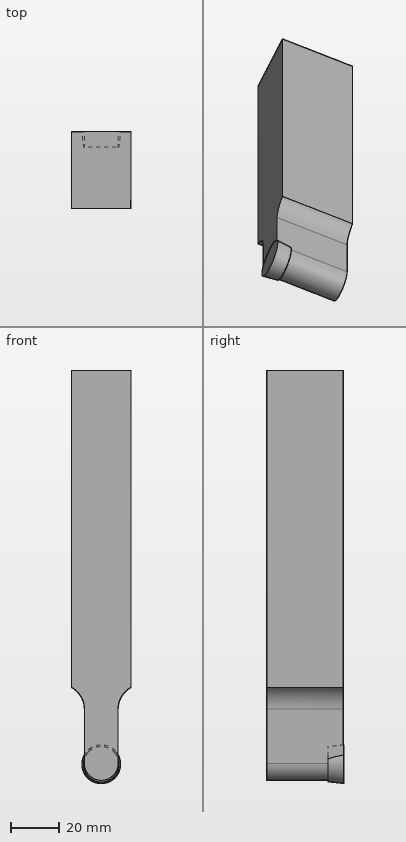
import cadquery as cq
import math

total_height = 171.4
total_depth = 32.0
shank_width = 24.8
shank_taper = 0.1
insert_proud = 0.2
shank_depth = total_depth - insert_proud

neck_width = 14.0
neck_radius = neck_width / 2
neck_end_gap = 1.4
neck_end_center = neck_end_gap + neck_radius
shoulder_height = 40.0
shoulder_radius = 10.3

insert_radius = 8.0
insert_back_radius = 7.4
insert_thickness = 6.5

shoulder_run = (shank_width - neck_width) / 2
shoulder_angle = math.acos(1 - shoulder_run / shoulder_radius)
neck_top = shoulder_height - shoulder_radius * math.sin(shoulder_angle)


def shoulder_midpoint(side):
    """Middle of the shoulder arc on the left (-1) or right (+1) side."""
    half_angle = shoulder_angle / 2
    x = neck_radius + shoulder_radius * (1 - math.cos(half_angle))
    z = neck_top + shoulder_radius * math.sin(half_angle)
    return (side * x, z)


def make_insert():
    """Tapered disc with its face at the +Y end, resting on its lowest point."""
    return (
        cq.Workplane("XZ", origin=(0, total_depth, insert_radius))
        .circle(insert_radius)
        .workplane(offset=insert_thickness)
        .circle(insert_back_radius)
        .loft(ruled=True)
    )


def make_front_profile():
    """Shank, shoulders and round-ended neck, extruded through the depth."""
    half_width = shank_width / 2
    return (
        cq.Workplane("XZ")
        .moveTo(-half_width, total_height)
        .lineTo(-half_width, shoulder_height)
        .threePointArc(shoulder_midpoint(-1), (-neck_radius, neck_top))
        .lineTo(-neck_radius, neck_end_center)
        .threePointArc((0, neck_end_gap), (neck_radius, neck_end_center))
        .lineTo(neck_radius, neck_top)
        .threePointArc(shoulder_midpoint(1), (half_width, shoulder_height))
        .lineTo(half_width, total_height)
        .close()
        .extrude(-shank_depth)
    )


def make_side_relief():
    """Wedge that slants the +X side of the shank inward toward -Y."""
    half_width = shank_width / 2
    return (
        cq.Workplane("XY")
        .moveTo(half_width, 0)
        .lineTo(half_width - shank_taper, 0)
        .lineTo(half_width, shank_depth)
        .close()
        .extrude(total_height)
    )


def make_holder(insert):
    """Tool holder with a pocket that matches the insert."""
    return make_front_profile().cut(make_side_relief()).cut(insert)


insert = make_insert()
holder = make_holder(insert)

result = cq.Compound.makeCompound([holder.solids().val(), insert.solids().val()])